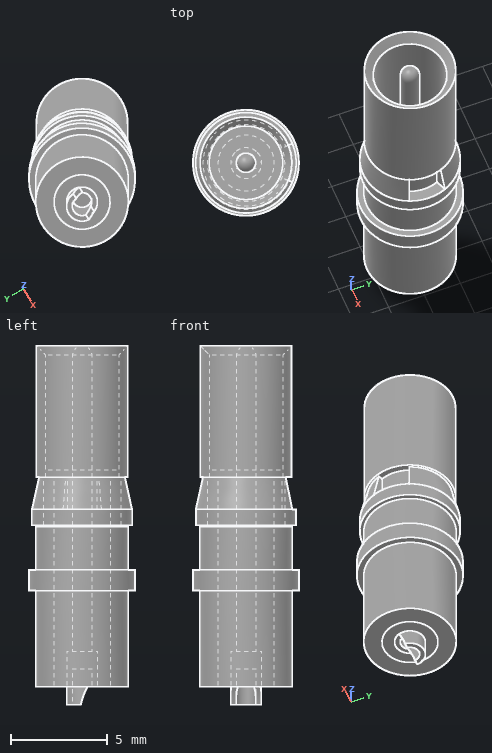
import cadquery as cq
import math

TOTAL_HEIGHT = 18.6
SHELL_BOTTOM = 0.93
FLANGE_BOTTOM = 5.91
FLANGE_TOP = 7.0
COLLAR_BOTTOM = 9.3
COLLAR_TOP = 10.12
SLEEVE_BOTTOM = 11.8
INSULATOR_HEAD_HEIGHT = 0.37

SLEEVE_DIAMETER = 4.75
SLEEVE_BORE = 3.81
SHELL_DIAMETER = 4.8
FLANGE_DIAMETER = 5.5
NECK_DIAMETER = 4.0
SHELL_BORE = 2.9
COLLAR_DIAMETER = 5.2
CLIP_BOTTOM_DIAMETER = COLLAR_DIAMETER
CLIP_TOP_DIAMETER = 4.46
PIN_DIAMETER = 1.0
CUP_DIAMETER = 1.6
CUP_BORE = 1.0

COLLAR_CLEARANCE = 0.07

CLIP_GAP_HALF_ANGLE = 22.5

CUP_HEIGHT = 2.79
CUP_BORE_DEPTH = 1.86
CUT_Y_AT_TIP = 0.05
CUT_Y_AT_MIDDLE = -0.07
CUT_Y_AT_SHELL = -0.28


def cylinder(diameter, bottom, top):
    """Solid cylinder on the Z axis between two heights."""
    return cq.Workplane("XY").workplane(offset=bottom).circle(diameter / 2).extrude(top - bottom)


def make_sleeve():
    """Mating tube whose inner edge is chamfered out to a knife-edge rim."""
    outer_radius = SLEEVE_DIAMETER / 2
    bore_radius = SLEEVE_BORE / 2
    chamfer = outer_radius - bore_radius
    section = [
        (bore_radius, SLEEVE_BOTTOM),
        (outer_radius, SLEEVE_BOTTOM),
        (outer_radius, TOTAL_HEIGHT),
        (bore_radius, TOTAL_HEIGHT - chamfer),
    ]
    return cq.Workplane("XZ").polyline(section).close().revolve(360, (0, 0), (0, 1))


def make_shell():
    """Rear barrel with a flange, and a neck that carries the collar and the clip."""
    shell = cylinder(SHELL_DIAMETER, SHELL_BOTTOM, COLLAR_BOTTOM - COLLAR_CLEARANCE)
    shell = shell.union(cylinder(FLANGE_DIAMETER, FLANGE_BOTTOM, FLANGE_TOP))
    shell = shell.union(cylinder(NECK_DIAMETER, SHELL_BOTTOM, SLEEVE_BOTTOM))
    return shell.cut(cylinder(SHELL_BORE, SHELL_BOTTOM, SLEEVE_BOTTOM))


def make_collar():
    """Plain ring around the neck."""
    collar = cylinder(COLLAR_DIAMETER, COLLAR_BOTTOM, COLLAR_TOP)
    return collar.cut(cylinder(NECK_DIAMETER, COLLAR_BOTTOM, COLLAR_TOP))


def make_clip():
    """Conical spring clip around the neck, split by a radial gap toward +X."""
    section = [
        (NECK_DIAMETER / 2, COLLAR_TOP),
        (CLIP_BOTTOM_DIAMETER / 2, COLLAR_TOP),
        (CLIP_TOP_DIAMETER / 2, SLEEVE_BOTTOM),
        (NECK_DIAMETER / 2, SLEEVE_BOTTOM),
    ]
    cone = cq.Workplane("XZ").polyline(section).close().revolve(360, (0, 0), (0, 1))
    reach = CLIP_BOTTOM_DIAMETER
    half_width = reach * math.tan(math.radians(CLIP_GAP_HALF_ANGLE))
    gap = (
        cq.Workplane("XY")
        .workplane(offset=COLLAR_TOP)
        .polyline([(0, 0), (reach, -half_width), (reach, half_width)])
        .close()
        .extrude(SLEEVE_BOTTOM - COLLAR_TOP)
    )
    return cone.cut(gap)


def make_contact():
    """Round-nosed centre pin with a cut-away solder cup at its rear end."""
    nose_radius = PIN_DIAMETER / 2
    pin = cylinder(PIN_DIAMETER, CUP_HEIGHT, TOTAL_HEIGHT - nose_radius)
    nose = cq.Workplane("XY").sphere(nose_radius).translate((0, 0, TOTAL_HEIGHT - nose_radius))
    cup = cylinder(CUP_DIAMETER, 0, CUP_HEIGHT).cut(cylinder(CUP_BORE, 0, CUP_BORE_DEPTH))
    cut = (
        cq.Workplane("YZ")
        .moveTo(CUT_Y_AT_TIP, 0)
        .threePointArc((CUT_Y_AT_MIDDLE, SHELL_BOTTOM / 2), (CUT_Y_AT_SHELL, SHELL_BOTTOM))
        .lineTo(-CUP_DIAMETER, SHELL_BOTTOM)
        .lineTo(-CUP_DIAMETER, 0)
        .close()
        .extrude(CUP_DIAMETER, both=True)
    )
    return pin.union(nose).union(cup.cut(cut))


def make_insulator():
    """Stem in the shell and head in the sleeve, bored to fit the contact."""
    stem = cylinder(SHELL_BORE, SHELL_BOTTOM, SLEEVE_BOTTOM)
    head = cylinder(SLEEVE_BORE, SLEEVE_BOTTOM, SLEEVE_BOTTOM + INSULATOR_HEAD_HEIGHT)
    cup_hole = cylinder(CUP_DIAMETER, SHELL_BOTTOM, CUP_HEIGHT)
    pin_hole = cylinder(PIN_DIAMETER, CUP_HEIGHT, TOTAL_HEIGHT)
    return stem.union(head).cut(cup_hole).cut(pin_hole)


sleeve = make_sleeve()
shell = make_shell()
collar = make_collar()
clip = make_clip()
contact = make_contact()
insulator = make_insulator()

result = cq.Compound.makeCompound([
    sleeve.val(),
    shell.val(),
    collar.val(),
    clip.val(),
    contact.val(),
    insulator.val(),
])